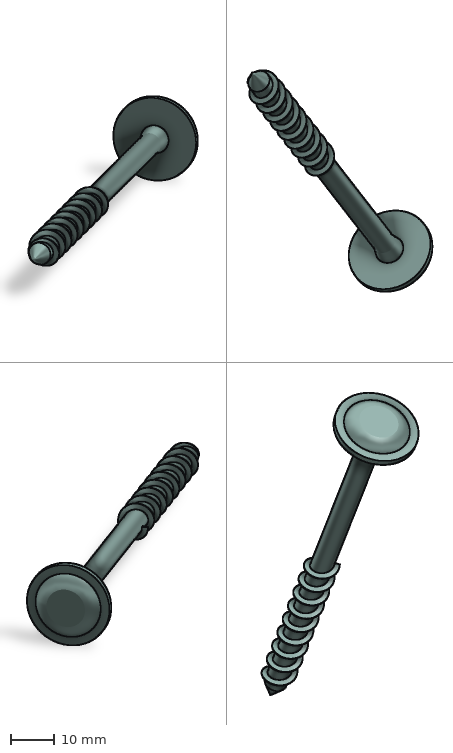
import cadquery as cq
import math

total_length = 103.5

head_diameter = 20.0
dome_height = 2.0
dome_base_diameter = 15.7
dome_top_diameter = 9.3
dome_bulge = 0.4
flange_thickness = 1.6

neck_diameter = 6.7
neck_length = 4.0
core_diameter = 5.3
tip_length = 5.0

thread_diameter = 8.0
thread_start = 53.1
full_turns = 8.5
runout_turns = 0.5
pitch = (total_length - tip_length - thread_start) / (full_turns + runout_turns)
root_width = 0.8
crest_width = 0.2
root_overlap = 0.2
runout_height = 0.1
points_per_turn = 24

core_radius = core_diameter / 2
thread_radius = thread_diameter / 2
flange_bottom = dome_height + flange_thickness


def make_body():
    """Head, neck, shaft and conical tip as one revolved half profile."""
    dome_top_radius = dome_top_diameter / 2
    dome_base_radius = dome_base_diameter / 2
    return (
        cq.Workplane("XY")
        .lineTo(dome_top_radius, 0)
        .sagittaArc((dome_base_radius, -dome_height), dome_bulge)
        .lineTo(head_diameter / 2, -dome_height)
        .lineTo(head_diameter / 2, -flange_bottom)
        .lineTo(neck_diameter / 2, -flange_bottom)
        .lineTo(core_radius, -flange_bottom - neck_length)
        .lineTo(core_radius, tip_length - total_length)
        .lineTo(0, -total_length)
        .close()
        .revolve(360, (0, 0, 0), (0, 1, 0))
    )


def helix_edge(first_turn, last_turn, first_radius, last_radius, offset):
    """Spiral edge starting on the -X side; offset shifts it along the axis."""
    steps = round((last_turn - first_turn) * points_per_turn)
    points = []
    for i in range(steps + 1):
        fraction = i / steps
        turn = first_turn + fraction * (last_turn - first_turn)
        radius = first_radius + fraction * (last_radius - first_radius)
        angle = 2 * math.pi * turn
        points.append(
            cq.Vector(
                -radius * math.cos(angle),
                offset - thread_start - pitch * turn,
                -radius * math.sin(angle),
            )
        )
    return cq.Edge.makeSpline(points)


def make_ridge(first_turn, last_turn, first_radius, last_radius):
    """Helical ridge of trapezoidal section with a changing crest radius."""
    root_radius = core_radius - root_overlap
    corners = [
        (root_radius, root_radius, root_width / 2),
        (first_radius, last_radius, crest_width / 2),
        (first_radius, last_radius, -crest_width / 2),
        (root_radius, root_radius, -root_width / 2),
    ]
    edges = [helix_edge(first_turn, last_turn, *corner) for corner in corners]
    faces = [
        cq.Face.makeRuledSurface(edge, following)
        for edge, following in zip(edges, edges[1:] + edges[:1])
    ]
    for end_corners in (
        [edge.startPoint() for edge in edges],
        [edge.endPoint() for edge in edges],
    ):
        faces.append(cq.Face.makeFromWires(cq.Wire.makePolygon(end_corners, close=True)))
    return cq.Solid.makeSolid(cq.Shell.makeShell(faces))


thread = make_ridge(0, full_turns, thread_radius, thread_radius)
runout = make_ridge(
    full_turns, full_turns + runout_turns, thread_radius, core_radius + runout_height
)

result = make_body().union(cq.Workplane(thread)).union(cq.Workplane(runout))